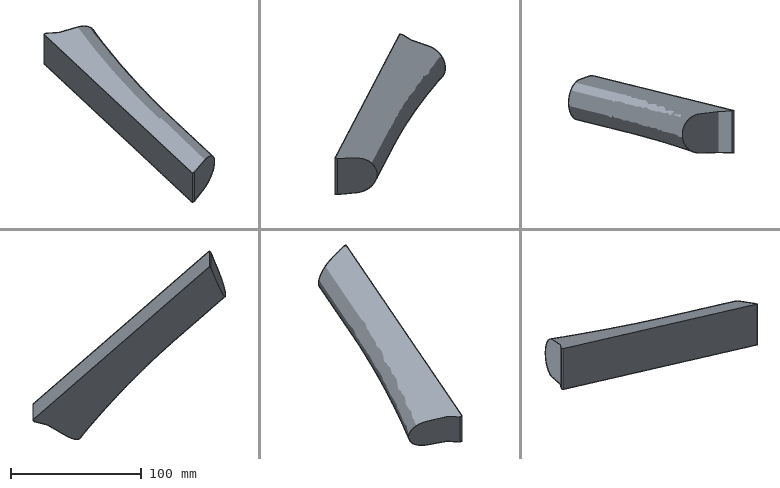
import cadquery as cq
import math

length = 185.0
base_width = 33.0
max_height = 40.0
draft_angle = 2.6

seam_height = 15.7
bend_start = 124.3
bend_radius = 656.8
crown_height = 14.6

lip_height = 2.0
left_knee = (5.2, 10.5)
left_top_x = 12.5
right_top_x = 173.9

crown_top = seam_height + crown_height
bend_sections = 5


def seam_at(x):
    """Height of the seam on the circular bend."""
    run = bend_start - x
    return seam_height + bend_radius - math.sqrt(bend_radius**2 - run**2)


def section(x, seam):
    """Cross-section with drafted walls and an arched crown."""
    half_base = base_width / 2
    half_seam = half_base - seam * math.tan(math.radians(draft_angle))
    return (
        cq.Workplane("YZ", origin=(x, 0, 0))
        .moveTo(0, -half_base)
        .lineTo(seam, -half_seam)
        .threePointArc((seam + crown_height, 0), (seam, half_seam))
        .lineTo(0, half_base)
        .close()
        .wire()
        .val()
    )


stations = [bend_start * i / (bend_sections - 1) for i in range(bend_sections)]
bend = cq.Solid.makeLoft([section(x, seam_at(x)) for x in stations])

straight = cq.Solid.makeLoft(
    [section(bend_start, seam_height), section(length, seam_height)], True
)
bar = cq.Workplane(bend).union(cq.Workplane(straight))

end_trim = (
    cq.Workplane("XY")
    .polyline([
        (0, 0),
        (length, 0),
        (length, lip_height),
        (right_top_x, crown_top),
        (right_top_x, max_height),
        (left_top_x, max_height),
        left_knee,
        (0, lip_height),
    ])
    .close()
    .extrude(base_width / 2, both=True)
)

result = bar.intersect(end_trim)